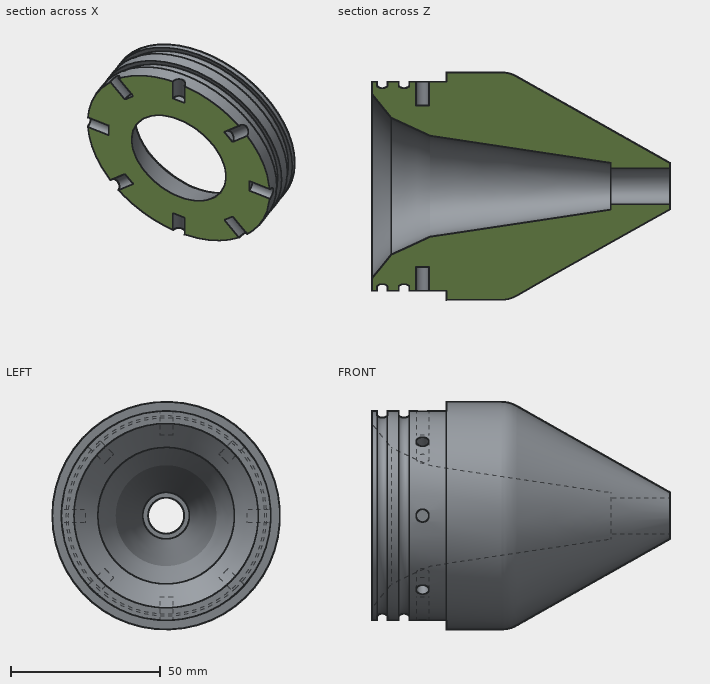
import cadquery as cq
import math

total_length = 99.6
collar_start = 24.9
collar_end = 43.3

neck_radius = 34.9
collar_radius = 38.0
tip_radius = 7.8

shoulder_radius = 10.0

groove_starts = (1.8, 9.1)
groove_width = 3.4
groove_edge_depth = 1.5
groove_floor_depth = 2.2

mouth_radius = 30.8
funnel_radius = 22.8
funnel_depth = 6.5
throat_radius = 16.8
throat_depth = 19.4
taper_end_radius = 7.8
taper_end_depth = 79.6
outlet_radius = 6.0

hole_count = 8
hole_diameter = 4.3
hole_depth = 8.0
hole_position = 16.9


def nose_angle():
    """Half angle of the cone that leaves the shoulder tangentially and ends at the tip radius."""
    run = total_length - collar_end
    drop = collar_radius - shoulder_radius - tip_radius
    return math.atan2(drop, run) + math.asin(shoulder_radius / math.hypot(run, drop))


def shoulder_point(angle):
    """Point on the shoulder arc where the surface has turned by the given angle."""
    return (
        collar_end + shoulder_radius * math.sin(angle),
        collar_radius - shoulder_radius * (1 - math.cos(angle)),
    )


def revolve_about_x(profile):
    return profile.close().revolve(360, (0, 0, 0), (1, 0, 0))


def make_body():
    angle = nose_angle()
    profile = (
        cq.Workplane("XY")
        .lineTo(0, neck_radius)
        .lineTo(collar_start, neck_radius)
        .lineTo(collar_start, collar_radius)
        .lineTo(collar_end, collar_radius)
        .threePointArc(shoulder_point(angle / 2), shoulder_point(angle))
        .lineTo(total_length, tip_radius)
        .lineTo(total_length, 0)
    )
    return revolve_about_x(profile)


def make_bore():
    profile = (
        cq.Workplane("XY")
        .lineTo(0, mouth_radius)
        .lineTo(funnel_depth, funnel_radius)
        .lineTo(throat_depth, throat_radius)
        .lineTo(taper_end_depth, taper_end_radius)
        .lineTo(taper_end_depth, outlet_radius)
        .lineTo(total_length, outlet_radius)
        .lineTo(total_length, 0)
    )
    return revolve_about_x(profile)


def make_groove(start):
    """Ring groove with straight walls and a concave floor."""
    end = start + groove_width
    edge_radius = neck_radius - groove_edge_depth
    floor_point = (start + groove_width / 2, neck_radius - groove_floor_depth)
    profile = (
        cq.Workplane("XY")
        .moveTo(start, neck_radius)
        .lineTo(start, edge_radius)
        .threePointArc(floor_point, (end, edge_radius))
        .lineTo(end, neck_radius)
    )
    return revolve_about_x(profile)


def make_hole(angle):
    """Radial hole drilled inward from the neck, turned about X by the given angle."""
    return (
        cq.Workplane("XY", origin=(hole_position, 0, neck_radius - hole_depth))
        .circle(hole_diameter / 2)
        .extrude(2 * hole_depth)
        .rotate((0, 0, 0), (1, 0, 0), angle)
    )


result = make_body().cut(make_bore())
for groove_start in groove_starts:
    result = result.cut(make_groove(groove_start))
for index in range(hole_count):
    result = result.cut(make_hole(index * 360 / hole_count))